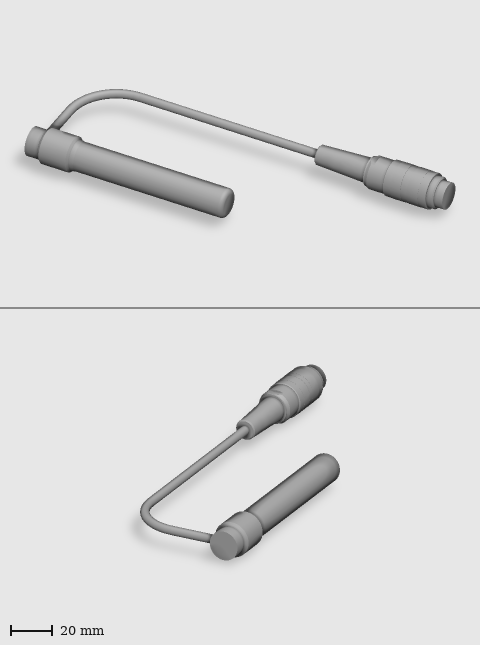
import cadquery as cq

total_length = 196.2
plug_axis_y = 55.0

probe_dia = 15.0
probe_length = 106.5
probe_end_fillet = 2.4
sleeve_dia = 18.0
sleeve_start = 6.9
sleeve_chamfer = (sleeve_dia - probe_dia) / 2
sleeve_end = 22.8
shoulder_dia = 15.7
shoulder_length = (sleeve_dia - shoulder_dia) / 2
shoulder_taper_length = 2.4

cable_dia = 4.5
cable_exit_x = 4.7
cable_bend_radius = 25.0

boot_start = 126.0
boot_small_dia = 10.2
boot_large_dia = 12.8
boot_chamfer = 0.5

nut_start = 153.8
nut_rim_dia = 15.1
nut_rim_length = 0.8
nut_dia = 16.9
nut_taper_length = 1.5
wrench_flat_width = nut_rim_dia
wrench_flat_length = 4.1

grip_start = 165.0
grip_end = 188.2
grip_dia = 18.2
grip_chamfer = 0.4
raised_band_dia = 18.5
raised_bands = [(169.3, 174.6), (178.1, 184.0)]
groove_start = raised_bands[0][1]
groove_width = 0.5
groove_dia = 18.0

collar_dia = 16.0
collar_end = 191.7
collar_chamfer = 0.5
nose_dia = 13.5


def turned(stations, axis_y):
    """Solid of revolution about a line parallel to X, from (x, diameter) stations."""
    outline = [(x, axis_y + dia / 2) for x, dia in stations]
    first_x = stations[0][0]
    last_x = stations[-1][0]
    profile = cq.Workplane("XY").polyline([(first_x, axis_y), *outline, (last_x, axis_y)]).close()
    return profile.revolve(360, (0, axis_y, 0), (1, axis_y, 0))


def make_probe():
    shoulder_x = sleeve_end + shoulder_length
    rod = turned([(0, probe_dia), (probe_length, probe_dia)], 0)
    rod = rod.faces(">X").edges().fillet(probe_end_fillet)
    sleeve = turned(
        [
            (sleeve_start, probe_dia),
            (sleeve_start + sleeve_chamfer, sleeve_dia),
            (sleeve_end, sleeve_dia),
            (shoulder_x, shoulder_dia),
            (shoulder_x + shoulder_taper_length, probe_dia),
        ],
        0,
    )
    return rod.union(sleeve)


def make_cable():
    """Round cable from the probe axis, through a quarter bend, into the boot."""
    bend_start_y = plug_axis_y - cable_bend_radius
    path = (
        cq.Workplane("XY")
        .moveTo(cable_exit_x, 0)
        .lineTo(cable_exit_x, bend_start_y)
        .radiusArc((cable_exit_x + cable_bend_radius, plug_axis_y), cable_bend_radius)
        .lineTo(nut_start, plug_axis_y)
    )
    section = cq.Workplane("XZ").center(cable_exit_x, 0).circle(cable_dia / 2)
    return section.sweep(path)


def make_boot():
    return turned(
        [
            (boot_start, boot_small_dia - 2 * boot_chamfer),
            (boot_start + boot_chamfer, boot_small_dia),
            (nut_start, boot_large_dia),
        ],
        plug_axis_y,
    )


def make_nut():
    rim_end = nut_start + nut_rim_length
    nut = turned(
        [
            (nut_start, nut_rim_dia),
            (rim_end, nut_rim_dia),
            (rim_end + nut_taper_length, nut_dia),
            (grip_start, nut_dia),
        ],
        plug_axis_y,
    )
    flat_depth = (nut_dia - wrench_flat_width) / 2
    for side in (1, -1):
        waste = cq.Workplane("XY").box(
            wrench_flat_length, nut_dia, flat_depth, centered=(False, True, True)
        )
        flat_z = side * (wrench_flat_width + flat_depth) / 2
        nut = nut.cut(waste.translate((nut_start, plug_axis_y, flat_z)))
    return nut


def make_grip():
    groove_end = groove_start + groove_width
    stations = [
        (grip_start, grip_dia - 2 * grip_chamfer),
        (grip_start + grip_chamfer, grip_dia),
        (groove_start, grip_dia),
        (groove_start, groove_dia),
        (groove_end, groove_dia),
        (groove_end, grip_dia),
        (grip_end, grip_dia),
    ]
    grip = turned(stations, plug_axis_y)
    for band_start, band_end in raised_bands:
        band = turned([(band_start, raised_band_dia), (band_end, raised_band_dia)], plug_axis_y)
        grip = grip.union(band)
    return grip


def make_mating_end():
    return turned(
        [
            (grip_end, collar_dia),
            (collar_end - collar_chamfer, collar_dia),
            (collar_end, collar_dia - 2 * collar_chamfer),
            (collar_end, nose_dia),
            (total_length, nose_dia),
        ],
        plug_axis_y,
    )


result = make_probe()
for piece in (make_cable(), make_boot(), make_nut(), make_grip(), make_mating_end()):
    result = result.union(piece)